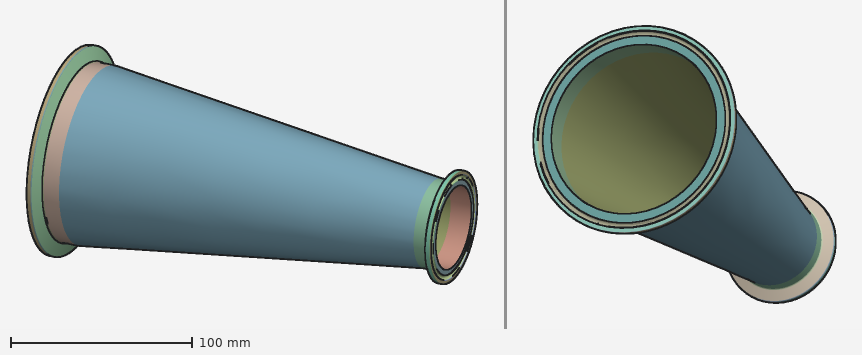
import cadquery as cq
import math

LENGTH = 231.78
RIM_WIDTH = 2.87
CLAMP_ANGLE = math.radians(20)

LARGE_TUBE_RADIUS = 101.6 / 2
LARGE_BORE_RADIUS = 97.38 / 2
LARGE_RIM_RADIUS = 118.92 / 2
LARGE_STRAIGHT = 15.88

SMALL_TUBE_RADIUS = 50.8 / 2
SMALL_BORE_RADIUS = 47.5 / 2
SMALL_RIM_RADIUS = 63.91 / 2
SMALL_STRAIGHT = 12.7

GROOVE_WIDTH = 2.8
GROOVE_DEPTH = 1.2
LARGE_GROOVE_RADIUS = 55.15
SMALL_GROOVE_RADIUS = 28.2

RIM_ROUND = 0.6
LIP_ROUND = 0.4
FACE_ROUND = 0.2
NECK_ROUND = 0.8

X_START = 0.0
X_END = X_START + LENGTH
X_CONE_START = X_START + LARGE_STRAIGHT
X_CONE_END = X_END - SMALL_STRAIGHT


def revolve_about_x(sketch):
    """Turn a closed (x, radius) section once around the X axis."""
    return sketch.close().revolve(360, (0, 0, 0), (1, 0, 0))


def reducer_tube():
    """Tapered tube with a short straight length at either end."""
    return revolve_about_x(
        cq.Workplane("XY")
        .moveTo(X_START, LARGE_BORE_RADIUS)
        .lineTo(X_START, LARGE_TUBE_RADIUS)
        .lineTo(X_CONE_START, LARGE_TUBE_RADIUS)
        .lineTo(X_CONE_END, SMALL_TUBE_RADIUS)
        .lineTo(X_END, SMALL_TUBE_RADIUS)
        .lineTo(X_END, SMALL_BORE_RADIUS)
        .lineTo(X_CONE_END, SMALL_BORE_RADIUS)
        .lineTo(X_CONE_START, LARGE_BORE_RADIUS)
    )


def flange_depth(rim_radius, tube_radius):
    """Distance along X from the end face to where the clamp face meets the tube."""
    return RIM_WIDTH + (rim_radius - tube_radius) * math.tan(CLAMP_ANGLE)


def clamp_flange(face_x, inward, tube_radius, bore_radius, rim_radius):
    """Flange on the end face at face_x; inward (+1 or -1) points into the part."""
    rim_back = face_x + inward * RIM_WIDTH
    neck = face_x + inward * flange_depth(rim_radius, tube_radius)
    return revolve_about_x(
        cq.Workplane("XY")
        .moveTo(face_x, bore_radius)
        .lineTo(face_x, rim_radius)
        .lineTo(rim_back, rim_radius)
        .lineTo(neck, tube_radius)
        .lineTo(neck, bore_radius)
    )


def gasket_groove(face_x, inward, centre_radius):
    """Ring to cut from the end face at face_x."""
    return revolve_about_x(
        cq.Workplane("XY")
        .moveTo(face_x, centre_radius - GROOVE_WIDTH / 2)
        .threePointArc(
            (face_x + inward * GROOVE_DEPTH, centre_radius),
            (face_x, centre_radius + GROOVE_WIDTH / 2),
        )
    )


def rounded_circle(body, radius, x, fillet_radius, tolerance=0.01):
    """Round the circular edge that has the given radius and lies at x."""
    circles = body.edges("%CIRCLE")
    circles = circles.filter(lambda edge: abs(edge.radius() - radius) < tolerance)
    circles = circles.filter(lambda edge: abs(edge.Center().x - x) < tolerance)
    return circles.fillet(fillet_radius)


large_flange = clamp_flange(
    X_START, 1, LARGE_TUBE_RADIUS, LARGE_BORE_RADIUS, LARGE_RIM_RADIUS
)
small_flange = clamp_flange(
    X_END, -1, SMALL_TUBE_RADIUS, SMALL_BORE_RADIUS, SMALL_RIM_RADIUS
)
body = reducer_tube().union(large_flange).union(small_flange)

for face_x, inward, tube_radius, rim_radius in (
    (X_START, 1, LARGE_TUBE_RADIUS, LARGE_RIM_RADIUS),
    (X_END, -1, SMALL_TUBE_RADIUS, SMALL_RIM_RADIUS),
):
    body = rounded_circle(body, rim_radius, face_x + inward * RIM_WIDTH, RIM_ROUND)
    body = rounded_circle(body, rim_radius, face_x, FACE_ROUND)
    neck_x = face_x + inward * flange_depth(rim_radius, tube_radius)
    body = rounded_circle(body, tube_radius, neck_x, NECK_ROUND)

for face_x, inward, groove_radius in (
    (X_START, 1, LARGE_GROOVE_RADIUS),
    (X_END, -1, SMALL_GROOVE_RADIUS),
):
    body = body.cut(gasket_groove(face_x, inward, groove_radius))
    for lip_radius in (groove_radius - GROOVE_WIDTH / 2, groove_radius + GROOVE_WIDTH / 2):
        body = rounded_circle(body, lip_radius, face_x, LIP_ROUND)

result = body